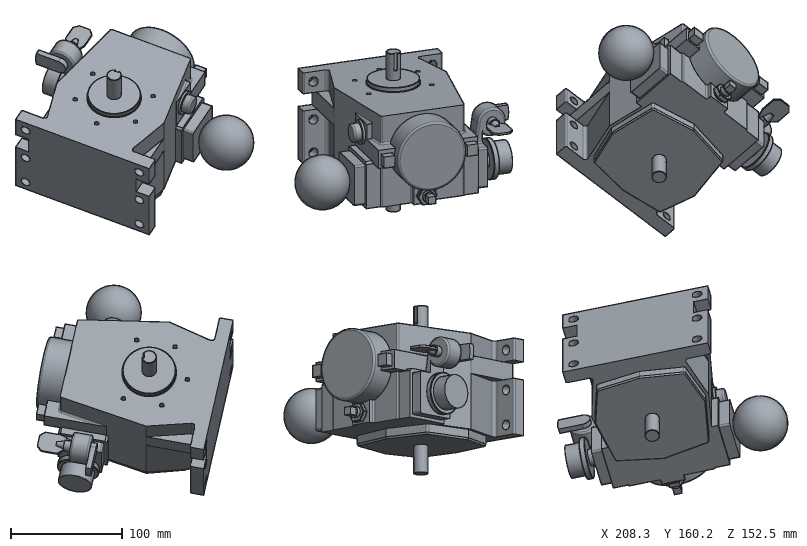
import cadquery as cq
import math


HOUSING_HEIGHT = 87.5
HOUSING_HALF_WIDTH = 54.0
WIDEST_Y = -7.7
BACK_Y = 73.5
BACK_HALF_WIDTH = 40.0
BACK_CORNER_RADIUS = 1.7
BASE_HALF_LENGTH = 67.0
BASE_FRONT_Y = -63.3
BASE_THICKNESS = 12.5
BASE_TOP_Y = BASE_FRONT_Y + BASE_THICKNESS
BASE_CORNER_RADIUS = 1.5
WAIST_HALF_WIDTH = 42.0
WAIST_FILLET = 3.0
RIB_BOTTOM = 50.8
RIB_TOP = 67.3

BASE_HOLE_DIAMETER = 8.7
BASE_HOLE_X = 57.0
BASE_HOLE_LEVELS = (9.4, 41.2, 77.7)

COLLAR_DIAMETER = 47.5
COLLAR_HEIGHT = 4.4
COLLAR_CHAMFER = 0.5
COLLAR_RING_DIAMETER = 49.0
COLLAR_RING_HEIGHT = 0.6
SCREW_HOLE_DIAMETER = 4.0
SCREW_CIRCLE_RADIUS = 35.0
SCREW_HOLE_DEPTH = 8.3
DRILL_POINT_ANGLE = 118
SCREW_HOLE_ANGLES = (30, 150, 210, 270, 330)

COVER_DEPTH = 9.4
COVER_HALF_WIDTH = 51.2
COVER_FRONT_CORNER = (40.8, -42.5)
COVER_FRONT_Y = -47.5
COVER_BACK_CORNER = (43.3, 38.0)
COVER_BACK_Y = 45.8
COVER_CORNER_RADIUS = 2.0
COVER_EDGE_CHAMFER = (1.9, 0.8)

DRUM_RADIUS = 32.7
DRUM_Z = 51.7
DRUM_BACK_Y = 96.9
DRUM_EDGE_RADIUS = 1.9

BRACKET_HALF_WIDTH = 47.7
BRACKET_FRONT_Y = 29.4
BRACKET_BACK_Y = 86.6
BRACKET_BOTTOM = 43.3
BRACKET_TOP = 60.6
BRACKET_FILLET = 1.7
BOSS_BACK_Y = 57.7
BOSS_TOP = 75.0
TAB_WIDTH = 10.5
TAB_X = 40.0
TAB_BACK_Y = 94.1
TAB_BOTTOM = 45.8
TAB_TOP = 56.7

BUTTON_Y = 43.3
BUTTON_Z = 62.7
BUTTON_RADIUS = 8.5
BUTTON_LENGTH = 9.8
BUTTON_EDGE_RADIUS = 1.9
BUTTON_FLANGE_RADIUS = 11.0
BUTTON_FLANGE_THICKNESS = 2.3

SPINDLE_Y = 50.0
SPINDLE_Z = 22.0
SPINDLE_RADIUS = 7.5
BALL_RADIUS = 24.8
BALL_X = 87.5
KNOB_LEFT_X = -89.5
KNOB_RADIUS = 15.2
DISC_LEFT_X = -75.8
DISC_RIGHT_X = -70.5
DISC_RADIUS = 19.0
DISC_CHAMFER = 0.6

FLANGE_SIZE = 44.8
FLANGE_CORNER_CHAMFER = 2.0
BLOCK_HALF_LENGTH = 64.0
BLOCK_SIZE = 38.5
BLOCK_CORNER_RADIUS = 1.7
BLOCK_TOP = SPINDLE_Z + BLOCK_SIZE / 2

LOCK_X = -73.1
LOCK_Z = 59.5
LOCK_RADIUS = 13.3
LOCK_FRONT_Y = 39.0
LOCK_BACK_Y = 56.5
LOCK_EDGE_RADIUS = 1.9
FOOT_KNEE = (-58.5, 51.0)
FOOT_BASE_X = -56.7
FOOT_FILLET = 1.5
LEVER_HALF_HEIGHT = 7.0
LEVER_TIP_X = -96.0
LEVER_TIP_SAGITTA = 0.8
LEVER_THICKNESS = 5.0
BARREL_RADIUS = 5.0
BARREL_BACK_Y = 63.1
CONE_BASE_RADIUS = 4.2
CONE_TIP_RADIUS = 2.3
CONE_TIP_Y = 70.2
KEY_THICKNESS = 1.9
KEY_HALF_WIDTH = 9.5
KEY_NECK_HALF_WIDTH = 5.2
KEY_BACK_Y = 86.6
KEY_CORNER = 4.4

GLAND_Z = 9.4
GLAND_PLATE_WIDTH = 20.8
GLAND_PLATE_HEIGHT = 21.2
GLAND_PLATE_Y = 78.7
GLAND_PLATE_FILLET = 1.7
GLAND_NECK_DIAMETER = 12.7
GLAND_NECK_Y = 80.6
GLAND_NUT_SIDES = 6
GLAND_NUT_ACROSS_FLATS = 16.2
GLAND_NUT_CHAMFER = 0.6
GLAND_NUT_Y = 85.5
GLAND_COLLAR_DIAMETER = 10.5
GLAND_COLLAR_Y = 89.4
GLAND_TIP_SIZE = 7.0
GLAND_TIP_Y = 96.9

SHAFT_DIAMETER = 13.0
SHAFT_BOTTOM = -35.0
SHAFT_LENGTH = 152.5
SHAFT_CHAMFER = 0.5
KEYWAY_WIDTH = 3.7
KEYWAY_DEPTH = 1.9
KEYWAY_LENGTH = 16.7

SEARCH_MARGIN = 0.2


def box(x_range, y_range, z_range):
    """Box spanning the given X, Y and Z ranges."""
    lows, highs = zip(x_range, y_range, z_range)
    sides = [high - low for low, high in zip(lows, highs)]
    return cq.Workplane("XY").box(*sides, centered=False).translate(lows)


def plane_facing_x(x, y, z):
    """Plane at (x, y, z) facing +X, with its local x along +Y."""
    return cq.Workplane(cq.Plane((x, y, z), (0, 1, 0), (1, 0, 0)))


def plane_facing_y(x, y, z):
    """Plane at (x, y, z) facing +Y, with its local y along +Z."""
    return cq.Workplane(cq.Plane((x, y, z), (-1, 0, 0), (0, 1, 0)))


def mirrored_outline(right_points):
    """Closed XY outline from its right-hand points, mirrored about the Y axis."""
    left_points = [(-x, y) for x, y in reversed(right_points) if x > 0]
    return cq.Workplane("XY").polyline(right_points + left_points).close()



def waisted_prism():
    """Tapered housing with its waist and the base plate, in full height."""
    prism = mirrored_outline([
        (BASE_HALF_LENGTH, BASE_FRONT_Y),
        (BASE_HALF_LENGTH, BASE_TOP_Y),
        (WAIST_HALF_WIDTH, BASE_TOP_Y),
        (HOUSING_HALF_WIDTH, WIDEST_Y),
        (BACK_HALF_WIDTH, BACK_Y),
    ]).extrude(HOUSING_HEIGHT)
    for side in (-1, 1):
        waist = cq.NearestToPointSelector((side * WAIST_HALF_WIDTH, BASE_TOP_Y, HOUSING_HEIGHT / 2))
        prism = prism.edges(waist).fillet(WAIST_FILLET)
        corner = cq.NearestToPointSelector((side * BASE_HALF_LENGTH, BASE_TOP_Y, HOUSING_HEIGHT / 2))
        prism = prism.edges(corner).fillet(BASE_CORNER_RADIUS)
    return prism.edges("|Z and >Y").fillet(BACK_CORNER_RADIUS)


def housing_shell():
    """Waisted prism with the rib, the base plate notches and the mounting holes."""
    shell = waisted_prism()
    rib_levels = (RIB_BOTTOM, RIB_TOP)
    for side in (-1, 1):
        notch_x = sorted((side * HOUSING_HALF_WIDTH, side * 2 * BASE_HALF_LENGTH))
        shell = shell.cut(box(notch_x, (BASE_FRONT_Y, BASE_TOP_Y), rib_levels))
    rib_x = (-HOUSING_HALF_WIDTH, HOUSING_HALF_WIDTH)
    shell = shell.union(box(rib_x, (BASE_FRONT_Y, WIDEST_Y), rib_levels))
    hole_places = [(side * BASE_HOLE_X, level) for side in (-1, 1) for level in BASE_HOLE_LEVELS]
    holes = (
        plane_facing_y(0, BASE_FRONT_Y, 0)
        .pushPoints(hole_places)
        .circle(BASE_HOLE_DIAMETER / 2)
        .extrude(BASE_THICKNESS)
    )
    return shell.cut(holes)


def filleted_ledge(level):
    """Tapered housing core in an oversized slab, with a fillet where the core leaves the slab."""
    core = mirrored_outline([
        (HOUSING_HALF_WIDTH, WIDEST_Y),
        (BACK_HALF_WIDTH, BACK_Y),
    ]).extrude(HOUSING_HEIGHT)
    core = core.edges("|Z and >Y").fillet(BACK_CORNER_RADIUS)
    slab_x = (-2 * BRACKET_HALF_WIDTH, 2 * BRACKET_HALF_WIDTH)
    slab = box(slab_x, (WIDEST_Y, BRACKET_BACK_Y), (BRACKET_BOTTOM, level))
    core_edges = cq.selectors.BoxSelector(
        (-HOUSING_HALF_WIDTH, BRACKET_FRONT_Y, level - SEARCH_MARGIN),
        (HOUSING_HALF_WIDTH, BACK_Y + SEARCH_MARGIN, level + SEARCH_MARGIN),
    )
    return core.union(slab).edges(core_edges).fillet(BRACKET_FILLET)


def bracket():
    """Bracket plate with two tabs, and the raised boss at its front right."""
    levels = (BRACKET_BOTTOM, HOUSING_HEIGHT)
    plate_x = (-BRACKET_HALF_WIDTH, BRACKET_HALF_WIDTH)
    plate_zone = box(plate_x, (BRACKET_FRONT_Y, BRACKET_BACK_Y), levels)
    boss_zone = box((0, BRACKET_HALF_WIDTH), (BRACKET_FRONT_Y, BOSS_BACK_Y), levels)
    plate = filleted_ledge(BRACKET_TOP).intersect(plate_zone)
    boss = filleted_ledge(BOSS_TOP).intersect(boss_zone)
    body = plate.union(boss)
    for side in (-1, 1):
        tab_x = (side * TAB_X - TAB_WIDTH / 2, side * TAB_X + TAB_WIDTH / 2)
        body = body.union(box(tab_x, (BRACKET_BACK_Y, TAB_BACK_Y), (TAB_BOTTOM, TAB_TOP)))
    return body


def push_button():
    """Round button with its flange, on the right side of the bracket boss."""
    start = plane_facing_x(BRACKET_HALF_WIDTH, BUTTON_Y, BUTTON_Z)
    button = start.circle(BUTTON_RADIUS).extrude(BUTTON_LENGTH)
    button = button.faces(">X").edges().fillet(BUTTON_EDGE_RADIUS)
    return button.union(start.circle(BUTTON_FLANGE_RADIUS).extrude(BUTTON_FLANGE_THICKNESS))


def bottom_cover():
    """Faceted cover below the housing."""
    cover = mirrored_outline([
        (0, COVER_FRONT_Y),
        COVER_FRONT_CORNER,
        (COVER_HALF_WIDTH, WIDEST_Y),
        COVER_BACK_CORNER,
        (0, COVER_BACK_Y),
    ]).extrude(-COVER_DEPTH)
    for x, y in (COVER_FRONT_CORNER, COVER_BACK_CORNER):
        for side in (-1, 1):
            corner = cq.NearestToPointSelector((side * x, y, -COVER_DEPTH / 2))
            cover = cover.edges(corner).fillet(COVER_CORNER_RADIUS)
    return cover.faces("<Z").chamfer(*COVER_EDGE_CHAMFER)


def rear_drum():
    """Round drum standing out of the back of the housing."""
    drum = plane_facing_y(0, BACK_Y, DRUM_Z).circle(DRUM_RADIUS).extrude(DRUM_BACK_Y - BACK_Y)
    return drum.faces(">Y").edges().fillet(DRUM_EDGE_RADIUS)


def top_collar():
    """Chamfered collar around the shaft on the top face, with a low ring at its foot."""
    top_face = cq.Workplane("XY", (0, 0, HOUSING_HEIGHT))
    collar = top_face.circle(COLLAR_DIAMETER / 2).extrude(COLLAR_HEIGHT)
    collar = collar.faces(">Z").edges().chamfer(COLLAR_CHAMFER)
    return collar.union(top_face.circle(COLLAR_RING_DIAMETER / 2).extrude(COLLAR_RING_HEIGHT))


def screw_holes():
    """Drilled blind holes with pointed ends, on a circle around the shaft."""
    radius = SCREW_HOLE_DIAMETER / 2
    point_depth = radius / math.tan(math.radians(DRILL_POINT_ANGLE / 2))
    drill = (
        cq.Workplane("XZ")
        .polyline([
            (0, HOUSING_HEIGHT),
            (radius, HOUSING_HEIGHT),
            (radius, HOUSING_HEIGHT - SCREW_HOLE_DEPTH),
            (0, HOUSING_HEIGHT - SCREW_HOLE_DEPTH - point_depth),
        ])
        .close()
        .revolve(360, (0, 0, 0), (0, 1, 0))
        .translate((SCREW_CIRCLE_RADIUS, 0, 0))
    )
    holes = cq.Workplane("XY")
    for angle in SCREW_HOLE_ANGLES:
        holes = holes.add(drill.rotate((0, 0, 0), (0, 0, 1), angle))
    return holes.combine()


def bearing_blocks():
    """Stepped square blocks that carry the spindle, standing out on both sides."""
    flange = (
        plane_facing_x(-HOUSING_HALF_WIDTH, SPINDLE_Y, FLANGE_SIZE / 2)
        .rect(FLANGE_SIZE, FLANGE_SIZE)
        .extrude(2 * HOUSING_HALF_WIDTH)
        .edges("|X and >Z")
        .chamfer(FLANGE_CORNER_CHAMFER)
    )
    block = (
        plane_facing_x(-BLOCK_HALF_LENGTH, SPINDLE_Y, SPINDLE_Z)
        .rect(BLOCK_SIZE, BLOCK_SIZE)
        .extrude(2 * BLOCK_HALF_LENGTH)
        .edges("|X")
        .fillet(BLOCK_CORNER_RADIUS)
    )
    return flange.union(block)


def lock_foot():
    """Foot that carries the lock, flared where it stands on the bearing block."""
    foot = (
        cq.Workplane("XZ", (0, LOCK_BACK_Y, 0))
        .moveTo(-BLOCK_HALF_LENGTH, LOCK_Z)
        .lineTo(LOCK_X + LOCK_RADIUS, LOCK_Z)
        .lineTo(*FOOT_KNEE)
        .lineTo(FOOT_BASE_X, BLOCK_TOP)
        .lineTo(-BLOCK_HALF_LENGTH, BLOCK_TOP)
        .close()
        .extrude(LOCK_BACK_Y - LOCK_FRONT_Y)
    )
    right_side = cq.selectors.BoxSelector(
        (FOOT_KNEE[0] - LOCK_EDGE_RADIUS, LOCK_FRONT_Y - SEARCH_MARGIN, BLOCK_TOP + SEARCH_MARGIN),
        (FOOT_BASE_X, LOCK_BACK_Y + SEARCH_MARGIN, LOCK_Z - SEARCH_MARGIN),
    )
    foot = foot.edges(right_side).edges("not |Y").fillet(LOCK_EDGE_RADIUS)
    pad = box(
        (-BLOCK_HALF_LENGTH, -HOUSING_HALF_WIDTH),
        (LOCK_FRONT_Y - 2 * FOOT_FILLET, LOCK_BACK_Y + 2 * FOOT_FILLET),
        (BLOCK_TOP - FOOT_FILLET, BLOCK_TOP),
    )
    base_edges = cq.selectors.BoxSelector(
        (-BLOCK_HALF_LENGTH + SEARCH_MARGIN, LOCK_FRONT_Y - SEARCH_MARGIN, BLOCK_TOP - SEARCH_MARGIN),
        (FOOT_BASE_X + SEARCH_MARGIN, LOCK_BACK_Y + SEARCH_MARGIN, BLOCK_TOP + SEARCH_MARGIN),
    )
    return foot.union(pad).edges(base_edges).fillet(FOOT_FILLET)


def lock_body():
    """Round lock body on its foot."""
    body = (
        plane_facing_y(LOCK_X, LOCK_FRONT_Y, LOCK_Z)
        .circle(LOCK_RADIUS)
        .extrude(LOCK_BACK_Y - LOCK_FRONT_Y)
        .edges()
        .fillet(LOCK_EDGE_RADIUS)
    )
    return body.union(lock_foot())


def lock_lever():
    """Flat lever on the front of the lock, round at the pivot and slightly bowed at the tip."""
    top = LOCK_Z + LEVER_HALF_HEIGHT
    bottom = LOCK_Z - LEVER_HALF_HEIGHT
    tip_corner_x = LEVER_TIP_X + LEVER_TIP_SAGITTA
    return (
        cq.Workplane("XZ", (0, LOCK_FRONT_Y, 0))
        .moveTo(LOCK_X, top)
        .lineTo(tip_corner_x, top)
        .threePointArc((LEVER_TIP_X, LOCK_Z), (tip_corner_x, bottom))
        .lineTo(LOCK_X, bottom)
        .threePointArc((LOCK_X + LEVER_HALF_HEIGHT, LOCK_Z), (LOCK_X, top))
        .close()
        .extrude(LEVER_THICKNESS)
    )


def lock_key():
    """Barrel, cone and flat key behind the lock."""
    barrel = (
        cq.Workplane("XY", (LOCK_X, 0, LOCK_Z))
        .moveTo(0, LOCK_BACK_Y)
        .lineTo(BARREL_RADIUS, LOCK_BACK_Y)
        .lineTo(BARREL_RADIUS, BARREL_BACK_Y)
        .lineTo(CONE_BASE_RADIUS, BARREL_BACK_Y)
        .lineTo(CONE_TIP_RADIUS, CONE_TIP_Y)
        .lineTo(0, CONE_TIP_Y)
        .close()
        .revolve(360, (0, 0, 0), (0, 1, 0))
    )
    shoulder_y = BARREL_BACK_Y + KEY_CORNER
    blade = (
        cq.Workplane("XY", (LOCK_X, 0, LOCK_Z - KEY_THICKNESS / 2))
        .polyline([
            (KEY_NECK_HALF_WIDTH, LOCK_BACK_Y),
            (KEY_HALF_WIDTH, shoulder_y),
            (KEY_HALF_WIDTH, KEY_BACK_Y - KEY_CORNER),
            (KEY_HALF_WIDTH - KEY_CORNER, KEY_BACK_Y),
            (KEY_CORNER - KEY_HALF_WIDTH, KEY_BACK_Y),
            (-KEY_HALF_WIDTH, KEY_BACK_Y - KEY_CORNER),
            (-KEY_HALF_WIDTH, shoulder_y),
            (-KEY_NECK_HALF_WIDTH, BARREL_BACK_Y),
            (-BARREL_RADIUS / 2, LOCK_BACK_Y),
        ])
        .close()
        .extrude(KEY_THICKNESS)
    )
    return barrel.union(blade)


def cable_gland():
    """Mounting plate, neck, nut, collar and square tip on the back of the housing."""
    half_width = GLAND_PLATE_WIDTH / 2
    fillet_y = BACK_Y + GLAND_PLATE_FILLET
    fillet_x = half_width + GLAND_PLATE_FILLET
    fillet_drop = GLAND_PLATE_FILLET * (1 - math.sqrt(0.5))
    gland = (
        cq.Workplane("XY")
        .moveTo(-fillet_x, BACK_Y)
        .threePointArc((-half_width - fillet_drop, BACK_Y + fillet_drop), (-half_width, fillet_y))
        .lineTo(-half_width, GLAND_PLATE_Y)
        .lineTo(half_width, GLAND_PLATE_Y)
        .lineTo(half_width, fillet_y)
        .threePointArc((half_width + fillet_drop, BACK_Y + fillet_drop), (fillet_x, BACK_Y))
        .close()
        .extrude(GLAND_PLATE_HEIGHT)
    )
    neck = plane_facing_y(0, GLAND_PLATE_Y, GLAND_Z).circle(GLAND_NECK_DIAMETER / 2)
    nut_corner_diameter = GLAND_NUT_ACROSS_FLATS / math.cos(math.pi / GLAND_NUT_SIDES)
    nut = (
        plane_facing_y(0, GLAND_NECK_Y, GLAND_Z)
        .polygon(GLAND_NUT_SIDES, nut_corner_diameter)
        .extrude(GLAND_NUT_Y - GLAND_NECK_Y)
        .faces("<Y or >Y")
        .chamfer(GLAND_NUT_CHAMFER)
    )
    collar = plane_facing_y(0, GLAND_NUT_Y, GLAND_Z).circle(GLAND_COLLAR_DIAMETER / 2)
    tip = plane_facing_y(0, GLAND_COLLAR_Y, GLAND_Z).rect(GLAND_TIP_SIZE, GLAND_TIP_SIZE)
    gland = gland.union(neck.extrude(GLAND_NECK_Y - GLAND_PLATE_Y)).union(nut)
    gland = gland.union(collar.extrude(GLAND_COLLAR_Y - GLAND_NUT_Y))
    return gland.union(tip.extrude(GLAND_TIP_Y - GLAND_COLLAR_Y))



def shaft_blank():
    """Plain chamfered shaft."""
    blank = cq.Workplane("XY", (0, 0, SHAFT_BOTTOM)).circle(SHAFT_DIAMETER / 2).extrude(SHAFT_LENGTH)
    return blank.faces("<Z or >Z").edges().chamfer(SHAFT_CHAMFER)


def shaft_with_keyway():
    """Shaft with a keyway open at its top end and round at the bottom."""
    floor_y = SHAFT_DIAMETER / 2 - KEYWAY_DEPTH
    top = SHAFT_BOTTOM + SHAFT_LENGTH
    keyway = (
        plane_facing_y(0, floor_y, top)
        .slot2D(2 * KEYWAY_LENGTH, KEYWAY_WIDTH, 90)
        .extrude(2 * KEYWAY_DEPTH)
    )
    return shaft_blank().cut(keyway)



def ball_spindle():
    """Cross spindle with the ball handle on the right and the stepped knob on the left."""
    rod_start = plane_facing_x(DISC_RIGHT_X, SPINDLE_Y, SPINDLE_Z)
    rod = rod_start.circle(SPINDLE_RADIUS).extrude(BALL_X - DISC_RIGHT_X)
    disc = (
        plane_facing_x(DISC_LEFT_X, SPINDLE_Y, SPINDLE_Z)
        .circle(DISC_RADIUS)
        .extrude(DISC_RIGHT_X - DISC_LEFT_X)
        .edges()
        .chamfer(DISC_CHAMFER)
    )
    knob_start = plane_facing_x(KNOB_LEFT_X, SPINDLE_Y, SPINDLE_Z)
    knob = knob_start.circle(KNOB_RADIUS).extrude(DISC_LEFT_X - KNOB_LEFT_X)
    ball = cq.Workplane("XY").sphere(BALL_RADIUS).translate((BALL_X, SPINDLE_Y, SPINDLE_Z))
    return rod.union(disc).union(knob).union(ball)



shaft = shaft_with_keyway()
spindle = ball_spindle()

housing = housing_shell()
for feature in (
    bottom_cover(),
    rear_drum(),
    top_collar(),
    bearing_blocks(),
    bracket(),
    push_button(),
    lock_body(),
    lock_lever(),
    lock_key(),
    cable_gland(),
):
    housing = housing.union(feature)
housing = housing.cut(screw_holes()).cut(shaft_blank()).cut(spindle)

result = cq.Compound.makeCompound([housing.solids().val(), shaft.solids().val(), spindle.solids().val()])